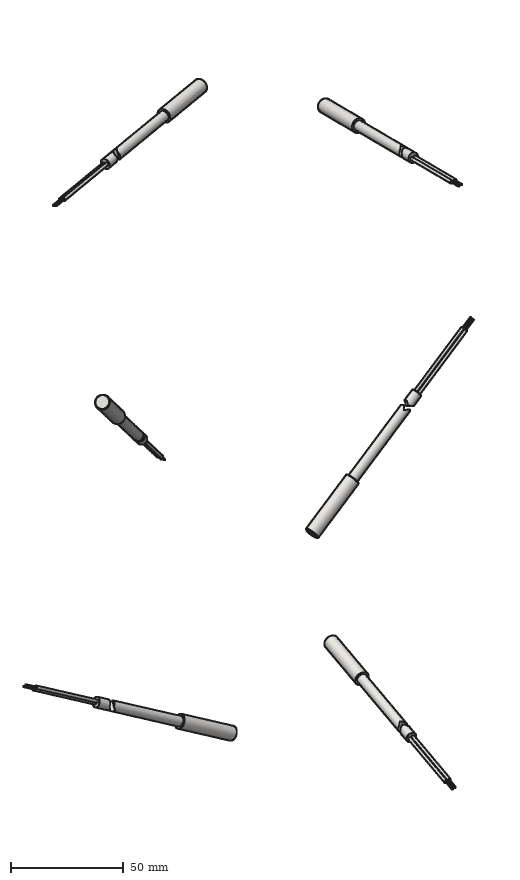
import cadquery as cq

total_length = 122.0
head_end_y = total_length / 2
wire_tip_y = -total_length / 2

head_diameter = 7.0
head_length = 31.0
head_chamfer = 0.4
head_rear_y = head_end_y - head_length

sheath_diameter = 5.0
sheath_radius = sheath_diameter / 2
break_front_y = -10.5
break_rear_y = -11.7
sheath_end_y = -18.9
front_notch_depth = 1.8
front_lip_offset = 0.2
rear_left_drop = 1.6
rear_shoulder_drop = 0.5
rear_right_drop = 1.0
notch_start_x = -1.1
crest_x = 0.4
notch_end_x = 1.5

wire_tilt = 17.0
wire_diameter = 1.6
wire_spacing = 1.7
conductor_diameter = 0.7
conductor_spacing = 1.5
conductor_length = 6.0
insulation_end_y = wire_tip_y + conductor_length


def rod(diameter, start_y, end_y, x=0.0):
    """Round rod parallel to Y, from start_y towards -Y down to end_y."""
    return (
        cq.Workplane("XZ", origin=(x, start_y, 0))
        .circle(diameter / 2)
        .extrude(start_y - end_y)
    )


def break_cutter(edge_points, far_y):
    """Block on the far_y side of a smooth break curve across the sheath."""
    left_x = edge_points[0][0]
    right_x = edge_points[-1][0]
    return (
        cq.Workplane("XY")
        .moveTo(*edge_points[0])
        .spline(edge_points[1:], includeCurrent=True)
        .lineTo(right_x, far_y)
        .lineTo(left_x, far_y)
        .close()
        .extrude(sheath_radius + 1.2, both=True)
    )


def tilt(body):
    """Turn a body about the cable axis to the tilt of the wire pair."""
    return body.rotate((0, 0, 0), (0, 1, 0), -wire_tilt)


def make_head():
    """Plain round head with a chamfered closed end."""
    return rod(head_diameter, head_end_y, head_rear_y).faces(">Y").chamfer(head_chamfer)


def make_front_cable():
    """Sheath from the head to the break, with a notch in its broken end."""
    lip_y = break_front_y + front_lip_offset
    edge = [
        (-sheath_radius, break_front_y),
        (notch_start_x, lip_y),
        (crest_x, break_front_y + front_notch_depth),
        (notch_end_x, lip_y),
        (sheath_radius, lip_y),
    ]
    cable = rod(sheath_diameter, head_rear_y, break_rear_y)
    return tilt(cable.cut(break_cutter(edge, sheath_end_y)))


def make_rear_cable():
    """Sheath after the break, with its crested end and both wires."""
    right_y = break_rear_y - rear_right_drop
    edge = [
        (-sheath_radius, break_rear_y - rear_left_drop),
        (notch_start_x, break_rear_y - rear_shoulder_drop),
        (crest_x, break_rear_y),
        (notch_end_x, right_y),
        (sheath_radius, right_y),
    ]
    cable = rod(sheath_diameter, break_front_y, sheath_end_y)
    cable = cable.cut(break_cutter(edge, head_rear_y))
    for side in (-1, 1):
        wire_x = side * wire_spacing / 2
        conductor_x = side * conductor_spacing / 2
        cable = cable.union(rod(wire_diameter, sheath_end_y, insulation_end_y, wire_x))
        cable = cable.union(rod(conductor_diameter, insulation_end_y, wire_tip_y, conductor_x))
    return tilt(cable)


head = make_head()
front_cable = make_front_cable()
rear_cable = make_rear_cable()

result = cq.Compound.makeCompound([head.val(), *front_cable.vals(), *rear_cable.vals()])